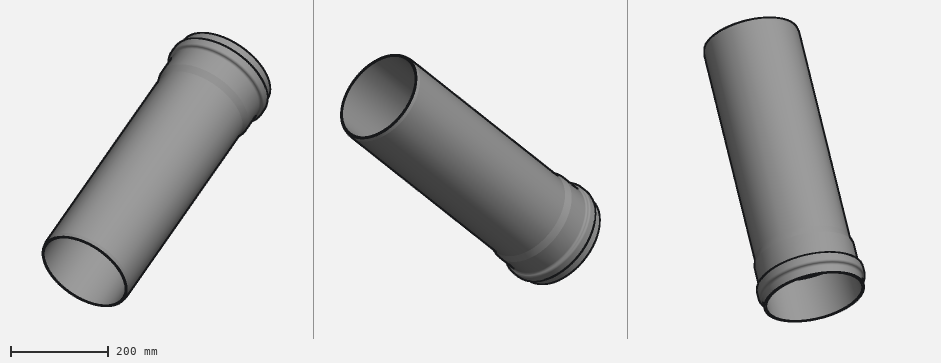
import cadquery as cq
import math

length = 599.0
pipe_diameter = 200.0
pipe_bore = 190.0
socket_diameter = 209.0
socket_bore = 200.5
collar_diameter = 223.5

spigot_tip_diameter = 196.5
spigot_chamfer_length = 9.0

collar_start = 16.0
collar_end = 49.0
taper_start = 94.0
taper_end = 110.0
collar_arc_length = 5.0

pipe_radius = pipe_diameter / 2
socket_radius = socket_diameter / 2
collar_radius = collar_diameter / 2
flank_mid_radius = (socket_radius + collar_radius) / 2
taper_start_y = length - taper_start
taper_end_y = length - taper_end


def revolve_about_y(profile):
    return profile.close().revolve(360, (0, 0, 0), (0, 1, 0))


def outer_body():
    """Solid of revolution bounded by the outside of the pipe and socket."""
    profile = (
        cq.Workplane("XY")
        .lineTo(spigot_tip_diameter / 2, 0)
        .lineTo(pipe_radius, spigot_chamfer_length)
        .lineTo(pipe_radius, taper_end_y)
        .lineTo(socket_radius, taper_start_y)
        .lineTo(socket_radius, length)
        .lineTo(0, length)
    )
    return revolve_about_y(profile)


def collar():
    """Raised ring whose flanks are S-curves blending into the socket."""
    back_y = length - collar_end
    front_y = length - collar_start
    rise = flank_mid_radius - socket_radius
    arc_radius = (collar_arc_length**2 + rise**2) / (2 * rise)
    half_angle = math.asin(collar_arc_length / arc_radius) / 2
    mid_run = arc_radius * math.sin(half_angle)
    mid_rise = arc_radius * (1 - math.cos(half_angle))
    foot_radius = socket_radius + mid_rise
    crest_radius = collar_radius - mid_rise
    flank_length = 2 * collar_arc_length

    profile = (
        cq.Workplane("XY")
        .moveTo(pipe_radius, back_y)
        .lineTo(socket_radius, back_y)
        .threePointArc(
            (foot_radius, back_y + mid_run),
            (flank_mid_radius, back_y + collar_arc_length),
        )
        .threePointArc(
            (crest_radius, back_y + flank_length - mid_run),
            (collar_radius, back_y + flank_length),
        )
        .lineTo(collar_radius, front_y - flank_length)
        .threePointArc(
            (crest_radius, front_y - flank_length + mid_run),
            (flank_mid_radius, front_y - collar_arc_length),
        )
        .threePointArc((foot_radius, front_y - mid_run), (socket_radius, front_y))
        .lineTo(pipe_radius, front_y)
    )
    return revolve_about_y(profile)


def bore():
    """Through bore, widening along the taper to the socket bore."""
    profile = (
        cq.Workplane("XY")
        .lineTo(pipe_bore / 2, 0)
        .lineTo(pipe_bore / 2, taper_end_y)
        .lineTo(socket_bore / 2, taper_start_y)
        .lineTo(socket_bore / 2, length)
        .lineTo(0, length)
    )
    return revolve_about_y(profile)


result = outer_body().union(collar()).cut(bore())